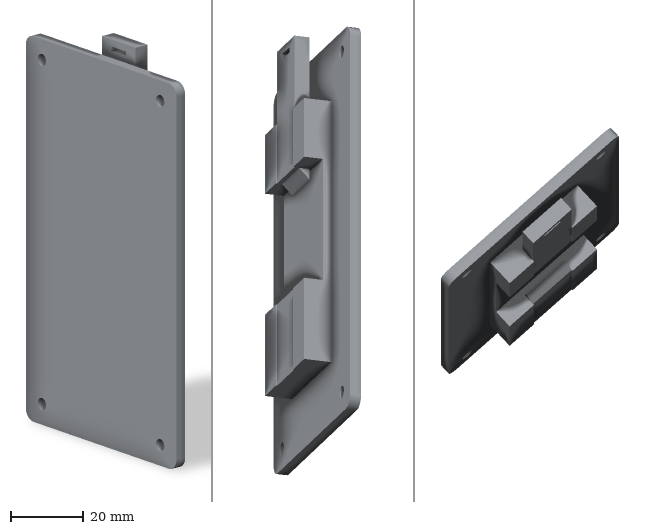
import cadquery as cq

PLATE_WIDTH = 63.7
PLATE_HEIGHT = 112.0
PLATE_THICKNESS = 3.2
CORNER_RADIUS = 3.2
HOLE_SPACING_X = 50.0
HOLE_SPACING_Z = 100.0
HOLE_DIAMETER = 3.5

CLIP_WIDTH = 32.7
CLIP_BACK_Y = 11.2
WEB_BACK_Y = 5.7
CLIP_BOTTOM_Z = 17.7
RAIL_GAP_BOTTOM_Z = 41.6
RAIL_GAP_TOP_Z = 77.1
CLIP_TOP_Z = 94.4

LATCH_WIDTH = 14.4
LATCH_RECESS = 0.3
LATCH_BACK_Y = CLIP_BACK_Y - LATCH_RECESS
LATCH_FRONT_Y = 6.5
LATCH_TOP_Z = 115.8
LATCH_TIP_DROP = 3.0
LATCH_TIP_Z = RAIL_GAP_TOP_Z - LATCH_TIP_DROP
LATCH_BEVEL = LATCH_BACK_Y - LATCH_FRONT_Y

SLOT_WIDTH = 6.0
SLOT_HEIGHT = 1.5
SLOT_TOP_MARGIN = 2.1

HOOK_TIP_Y = 8.1
HOOK_FRONT_Y = 7.2
HOOK_HEIGHT = 2.2


def extrude_side_profile(points, width):
    """Extrude a (y, z) outline across x, centred on x = 0."""
    return cq.Workplane("YZ").polyline(points).close().extrude(width / 2, both=True)


def box_between(width, y_front, y_back, z_bottom, z_top):
    """Box centred on x = 0 between the given y and z limits."""
    size_y = y_back - y_front
    size_z = z_top - z_bottom
    box = cq.Workplane("XY").box(width, size_y, size_z, centered=(True, False, False))
    return box.translate((0, y_front, z_bottom))


def make_plate():
    """Rounded plate with a screw hole near each corner."""
    plate = box_between(PLATE_WIDTH, 0, PLATE_THICKNESS, 0, PLATE_HEIGHT)
    plate = plate.edges("|Y").fillet(CORNER_RADIUS)
    holes = (
        cq.Workplane("XZ", origin=(0, 0, PLATE_HEIGHT / 2))
        .rarray(HOLE_SPACING_X, HOLE_SPACING_Z, 2, 2)
        .circle(HOLE_DIAMETER / 2)
        .extrude(-PLATE_THICKNESS)
    )
    return plate.cut(holes)


def make_clip():
    """Two jaws and their web, with a shallow channel down the middle of the back."""
    outline = [
        (PLATE_THICKNESS, CLIP_BOTTOM_Z),
        (CLIP_BACK_Y, CLIP_BOTTOM_Z),
        (CLIP_BACK_Y, RAIL_GAP_BOTTOM_Z),
        (WEB_BACK_Y, RAIL_GAP_BOTTOM_Z),
        (WEB_BACK_Y, RAIL_GAP_TOP_Z),
        (CLIP_BACK_Y, RAIL_GAP_TOP_Z),
        (CLIP_BACK_Y, CLIP_TOP_Z),
        (PLATE_THICKNESS, CLIP_TOP_Z),
    ]
    clip = extrude_side_profile(outline, CLIP_WIDTH)
    channel = box_between(LATCH_WIDTH, LATCH_BACK_Y, CLIP_BACK_Y, CLIP_BOTTOM_Z, CLIP_TOP_Z)
    return clip.cut(channel)


def make_latch():
    """Tongue with a 45 degree bevel at its lower tip and a pull slot near its top."""
    outline = [
        (LATCH_FRONT_Y, LATCH_TIP_Z),
        (LATCH_BACK_Y, LATCH_TIP_Z + LATCH_BEVEL),
        (LATCH_BACK_Y, LATCH_TOP_Z),
        (LATCH_FRONT_Y, LATCH_TOP_Z),
    ]
    latch = extrude_side_profile(outline, LATCH_WIDTH)
    slot_top_z = LATCH_TOP_Z - SLOT_TOP_MARGIN
    slot_bottom_z = slot_top_z - SLOT_HEIGHT
    slot = box_between(SLOT_WIDTH, LATCH_FRONT_Y, LATCH_BACK_Y, slot_bottom_z, slot_top_z)
    return latch.cut(slot)


def make_hook():
    """Triangular tooth that rises from the lower jaw into the rail gap."""
    outline = [
        (HOOK_FRONT_Y, RAIL_GAP_BOTTOM_Z),
        (LATCH_BACK_Y, RAIL_GAP_BOTTOM_Z),
        (HOOK_TIP_Y, RAIL_GAP_BOTTOM_Z + HOOK_HEIGHT),
    ]
    return extrude_side_profile(outline, LATCH_WIDTH)


result = make_plate().union(make_clip()).union(make_latch()).union(make_hook())